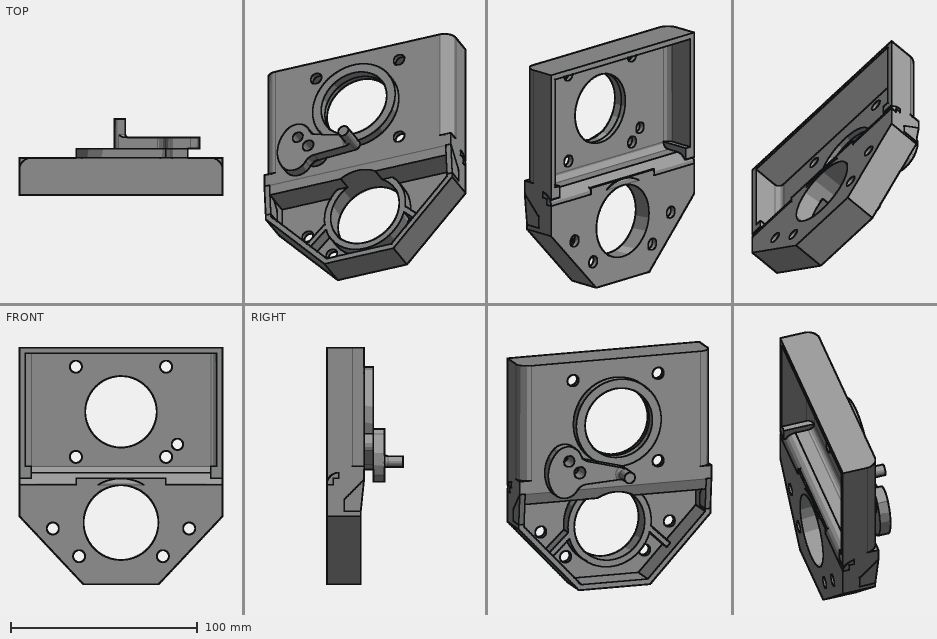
import cadquery as cq
import math

WIDTH = 109.0
HEIGHT = 126.8
DEPTH = 20.0
HALF_WIDTH = WIDTH / 2

WALL = 3.0
OUTER_RADIUS = 6.5
INNER_RADIUS = OUTER_RADIUS - WALL
FLOOR_Z = 59.9
TAB_TOP_Z = FLOOR_Z + INNER_RADIUS
TAB_BOTTOM_Z = FLOOR_Z - WALL
RIDGE_BASE_Z = FLOOR_Z - OUTER_RADIUS
CAVITY_DEPTH = DEPTH - WALL
TAB_INNER_X = HALF_WIDTH - OUTER_RADIUS

BORE_Z = 92.5
BORE_DIAMETER = 38.2
BOLT_OFFSET = 24.16
BOLT_DIAMETER = 6.3

PLATE_DEPTH = 18.3
PLATE_SIDE_Z = 36.5
PLATE_TIP_HALF_WIDTH = 20.2
LOWER_BORE_Z = 33.1
LOWER_BORE_DIAMETER = 40.0
COLLAR_DIAMETER = 47.3
COLLAR_BACK_Y = 10.1
SIDE_BOLT = (36.5, 29.9)
TIP_BOLT = (22.5, 15.1)
RIB_LENGTH = 22.8

KEY_DEPTH = 3.4
KEY_HALF_WIDTH = 24.1
KEY_HOLLOW_DIAMETER = COLLAR_DIAMETER

WEDGE_FRONT_Y = 9.4
WEDGE_BOTTOM_Z = 39.1
WEDGE_SHOULDER_Z = 45.5
WEDGE_TOP_Z = WEDGE_SHOULDER_Z + DEPTH - WEDGE_FRONT_Y

RING_DIAMETER = 48.2
RING_THICKNESS = 5.0
RING_BACK_Y = DEPTH + RING_THICKNESS

LEVER_THICKNESS = 6.0
LEVER_BACK_Y = RING_BACK_Y + LEVER_THICKNESS
LEVER_ANGLE = 5.8
SCREW = (BOLT_OFFSET, BORE_Z - BOLT_OFFSET)
ARM_LENGTH = 24.92
ARM_ROOT_RADIUS = 6.8
EAR_ALONG = 7.7
EAR_ACROSS = 6.1
EAR_RADIUS = 8.1
ARM_FILLET = 6.3
PIVOT_ALONG = 6.7
PIVOT_DIAMETER = 6.0
PIVOT_PAD_RADIUS = 5.6
PIN_DIAMETER = 6.0
PIN_RADIUS = PIN_DIAMETER / 2
PIN_END_Y = 41.0
PIN_FLARE = 1.6


def front_plane(y):
    """Workplane parallel to XZ at depth y."""
    return cq.Workplane("XZ", origin=(0, y, 0))


def block(x0, x1, y0, y1, z0, z1):
    return cq.Workplane("XY").box(x1 - x0, y1 - y0, z1 - z0, centered=False).translate((x0, y0, z0))


def cylinder(x, z, diameter, y0, y1):
    """Round bar along Y."""
    return front_plane(y0).center(x, z).circle(diameter / 2).extrude(y0 - y1)


def extrude_x(profile, x0, x1):
    """Extrude a profile drawn on the YZ plane from x0 to x1."""
    return profile.extrude(x1 - x0).translate((x0, 0, 0))


def tapered_link(start, start_radius, end, end_radius, y0, y1):
    """Plate whose outline is two circles joined by their outer tangents."""
    dx = end[0] - start[0]
    dz = end[1] - start[1]
    heading = math.atan2(dz, dx)
    spread = math.acos((start_radius - end_radius) / math.hypot(dx, dz))

    def on_circle(centre, radius, angle):
        return (centre[0] + radius * math.cos(angle), centre[1] + radius * math.sin(angle))

    return (
        front_plane(y0)
        .moveTo(*on_circle(start, start_radius, heading + spread))
        .threePointArc(
            on_circle(start, start_radius, heading + math.pi),
            on_circle(start, start_radius, heading - spread),
        )
        .lineTo(*on_circle(end, end_radius, heading - spread))
        .threePointArc(
            on_circle(end, end_radius, heading),
            on_circle(end, end_radius, heading + spread),
        )
        .close()
        .extrude(y0 - y1)
    )


def lever_point(along, across):
    """Point at a distance along and across the arm, measured from the screw."""
    angle = math.radians(LEVER_ANGLE)
    return (
        SCREW[0] + along * math.cos(angle) - across * math.sin(angle),
        SCREW[1] + along * math.sin(angle) + across * math.cos(angle),
    )


PIN = lever_point(-ARM_LENGTH, 0)
PIVOT = lever_point(PIVOT_ALONG, EAR_ACROSS)


def ridge_bar():
    """Stepped bar with a quarter-round front, as long as the housing is wide."""
    diagonal = OUTER_RADIUS * (1 - math.sqrt(0.5))
    profile = (
        cq.Workplane("YZ")
        .moveTo(0, RIDGE_BASE_Z)
        .threePointArc((diagonal, FLOOR_Z - diagonal), (OUTER_RADIUS, FLOOR_Z))
        .lineTo(OUTER_RADIUS, TAB_BOTTOM_Z)
        .lineTo(KEY_DEPTH, TAB_BOTTOM_Z)
        .lineTo(KEY_DEPTH, RIDGE_BASE_Z)
        .close()
    )
    return extrude_x(profile, -HALF_WIDTH, HALF_WIDTH)


def key_block():
    return block(-KEY_HALF_WIDTH, KEY_HALF_WIDTH, 0, KEY_DEPTH, RIDGE_BASE_Z, TAB_BOTTOM_Z)


def make_strip():
    """Ridge bar with a gap in the middle of its lower step for the housing key."""
    return ridge_bar().cut(key_block())


def make_wedge(x0, x1):
    profile = cq.Workplane("YZ").polyline([
        (DEPTH, WEDGE_TOP_Z),
        (WEDGE_FRONT_Y, WEDGE_SHOULDER_Z),
        (WEDGE_FRONT_Y, WEDGE_BOTTOM_Z),
        (PLATE_DEPTH, WEDGE_BOTTOM_Z),
    ]).close()
    return extrude_x(profile, x0, x1)


def upper_box():
    """Block of the box above its floor, with rounded upright back edges."""
    box = block(-HALF_WIDTH, HALF_WIDTH, 0, DEPTH, TAB_TOP_Z, HEIGHT)
    return box.edges("|Z and >Y").fillet(OUTER_RADIUS)


def waist():
    """Plain band between the lower plate and the rounded box."""
    return block(-HALF_WIDTH, HALF_WIDTH, 0, DEPTH, RIDGE_BASE_Z, TAB_TOP_Z)


def box_cavity():
    """Space inside the box: full width above the end tabs, narrower down to the floor."""
    inside = HALF_WIDTH - WALL
    cavity = block(-inside, inside, 0, CAVITY_DEPTH, TAB_TOP_Z, HEIGHT - WALL)
    cavity = cavity.edges("|Z and >Y").fillet(INNER_RADIUS)
    trough = block(-TAB_INNER_X, TAB_INNER_X, 0, CAVITY_DEPTH, FLOOR_Z, HEIGHT - WALL)
    return cavity.union(trough.edges("|X and >Y and <Z").fillet(INNER_RADIUS))


def housing_key():
    """Block that fills the gap in the strip, hollowed in front down to the ridge surface."""
    hollow = cylinder(0, LOWER_BORE_Z, KEY_HOLLOW_DIAMETER, 0, KEY_DEPTH).cut(ridge_bar())
    return key_block().cut(hollow)


def strip_clearance():
    """Front corner below the floor where the strip lies, except for the key."""
    upper_step = block(-TAB_INNER_X, TAB_INNER_X, 0, OUTER_RADIUS, TAB_BOTTOM_Z, FLOOR_Z)
    lower_step = block(-HALF_WIDTH, HALF_WIDTH, 0, KEY_DEPTH, RIDGE_BASE_Z, TAB_BOTTOM_Z)
    return upper_step.union(lower_step.cut(housing_key()))


def plate_outline(y):
    corners = [
        (-HALF_WIDTH, RIDGE_BASE_Z),
        (-HALF_WIDTH, PLATE_SIDE_Z),
        (-PLATE_TIP_HALF_WIDTH, 0),
        (PLATE_TIP_HALF_WIDTH, 0),
        (HALF_WIDTH, PLATE_SIDE_Z),
        (HALF_WIDTH, RIDGE_BASE_Z),
    ]
    return front_plane(y).polyline(corners).close()


def lower_plate():
    return plate_outline(0).extrude(-DEPTH)


def bolt_ribs():
    """Rib on each side, across the middle of the line between the two plate bolts."""
    across = math.degrees(math.atan2(SIDE_BOLT[1] - TIP_BOLT[1], SIDE_BOLT[0] - TIP_BOLT[0]))
    middle_x = (SIDE_BOLT[0] + TIP_BOLT[0]) / 2
    middle_z = (SIDE_BOLT[1] + TIP_BOLT[1]) / 2
    rib = block(-WALL / 2, WALL / 2, WALL, COLLAR_BACK_Y, -RIB_LENGTH / 2, RIB_LENGTH / 2)
    rib = rib.rotate((0, 0, 0), (0, 1, 0), -across).translate((middle_x, 0, middle_z))
    return rib.union(rib.mirror("YZ"))


def back_recess():
    """Hollow behind the lower plate, leaving its walls, the bore collar and the ribs."""
    recess = plate_outline(WALL).offset2D(-WALL).extrude(-DEPTH)
    recess = recess.cut(cylinder(0, LOWER_BORE_Z, COLLAR_DIAMETER, 0, COLLAR_BACK_Y))
    return recess.cut(bolt_ribs())


def back_relief():
    """Material removed behind the lower plate, tapering out at the wedge tops."""
    profile = cq.Workplane("YZ").polyline([
        (DEPTH, WEDGE_TOP_Z),
        (PLATE_DEPTH, WEDGE_BOTTOM_Z),
        (PLATE_DEPTH, 0),
        (DEPTH, 0),
    ]).close()
    return extrude_x(profile, -HALF_WIDTH, HALF_WIDTH)


def housing_holes():
    holes = cylinder(0, BORE_Z, BORE_DIAMETER, 0, DEPTH)
    holes = holes.union(cylinder(*PIVOT, PIVOT_DIAMETER, 0, DEPTH))
    holes = holes.union(cylinder(0, LOWER_BORE_Z, LOWER_BORE_DIAMETER, 0, DEPTH))
    for side in (-1, 1):
        for level in (-1, 1):
            bolt_z = BORE_Z + level * BOLT_OFFSET
            holes = holes.union(cylinder(side * BOLT_OFFSET, bolt_z, BOLT_DIAMETER, 0, DEPTH))
        for bolt_x, bolt_z in (SIDE_BOLT, TIP_BOLT):
            holes = holes.union(cylinder(side * bolt_x, bolt_z, BOLT_DIAMETER, 0, DEPTH))
    return holes


def make_housing(fitted_bodies):
    """Whole housing, with a matching recess for every fitted body."""
    housing = upper_box().union(waist()).union(lower_plate())
    housing = housing.cut(box_cavity()).cut(strip_clearance())
    housing = housing.cut(back_relief()).cut(back_recess()).cut(housing_holes())
    for body in fitted_bodies:
        housing = housing.cut(body)
    return housing


def make_ring():
    ring = cylinder(0, BORE_Z, RING_DIAMETER, DEPTH, RING_BACK_Y)
    return ring.cut(cylinder(0, BORE_Z, BORE_DIAMETER, DEPTH, RING_BACK_Y))


def lever_head():
    """Head with two round ears joined by a wide arc centred on the screw."""
    reach = math.hypot(EAR_ALONG, EAR_ACROSS)
    stretch = (reach + EAR_RADIUS) / reach
    ear_tip = (EAR_ALONG * stretch, EAR_ACROSS * stretch)
    heel = EAR_ALONG - EAR_RADIUS
    lean = math.atan2(EAR_ACROSS, EAR_ALONG) / 2 + math.pi / 2
    ear_mid = (
        EAR_ALONG + EAR_RADIUS * math.cos(lean),
        EAR_ACROSS + EAR_RADIUS * math.sin(lean),
    )
    return (
        front_plane(RING_BACK_Y)
        .moveTo(*lever_point(heel, -EAR_ACROSS))
        .lineTo(*lever_point(heel, EAR_ACROSS))
        .threePointArc(lever_point(*ear_mid), lever_point(*ear_tip))
        .threePointArc(lever_point(reach + EAR_RADIUS, 0), lever_point(ear_tip[0], -ear_tip[1]))
        .threePointArc(lever_point(ear_mid[0], -ear_mid[1]), lever_point(heel, -EAR_ACROSS))
        .close()
        .extrude(-LEVER_THICKNESS)
    )


def lever_arm(y0, y1):
    return tapered_link(PIN, PIN_RADIUS, SCREW, ARM_ROOT_RADIUS, y0, y1)


def inner_corners():
    """Selector for the two upright edges where the arm runs into the head."""
    reach = ARM_LENGTH - EAR_RADIUS
    return cq.selectors.BoxSelector(
        (PIN[0] + reach / 2, RING_BACK_Y, 0),
        (SCREW[0] + EAR_ALONG - EAR_RADIUS / 2, LEVER_BACK_Y, HEIGHT),
    )


def pin_flare():
    """Concave collar around the pin, no wider than the arm below it."""
    flare_radius = PIN_RADIUS + PIN_FLARE
    flare_top = LEVER_BACK_Y + PIN_FLARE
    hollow = PIN_FLARE * math.sqrt(0.5)
    flare = (
        cq.Workplane("XY")
        .moveTo(0, LEVER_BACK_Y)
        .lineTo(flare_radius, LEVER_BACK_Y)
        .threePointArc((flare_radius - hollow, flare_top - hollow), (PIN_RADIUS, flare_top))
        .lineTo(0, flare_top)
        .close()
        .revolve(360, (0, 0, 0), (0, 1, 0))
        .translate((PIN[0], 0, PIN[1]))
    )
    return flare.intersect(lever_arm(LEVER_BACK_Y, flare_top))


def make_lever():
    lever = lever_head().union(lever_arm(RING_BACK_Y, LEVER_BACK_Y))
    lever = lever.edges("|Y").edges(inner_corners()).fillet(ARM_FILLET)
    lever = lever.union(tapered_link(PIVOT, PIVOT_PAD_RADIUS, SCREW, ARM_ROOT_RADIUS, DEPTH, RING_BACK_Y))
    lever = lever.union(pin_flare())
    lever = lever.union(cylinder(*PIN, PIN_DIAMETER, RING_BACK_Y, PIN_END_Y))
    lever = lever.cut(cylinder(*PIVOT, PIVOT_DIAMETER, DEPTH, LEVER_BACK_Y))
    return lever.cut(cylinder(*SCREW, BOLT_DIAMETER, DEPTH, LEVER_BACK_Y))


strip = make_strip()
wedges = []
for wedge_x in (-HALF_WIDTH, HALF_WIDTH - WALL):
    wedges.append(make_wedge(wedge_x, wedge_x + WALL))
housing = make_housing([strip, *wedges])
ring = make_ring()
lever = make_lever()

result = cq.Compound.makeCompound([
    housing.val(),
    strip.val(),
    *[wedge.val() for wedge in wedges],
    ring.val(),
    lever.val(),
])